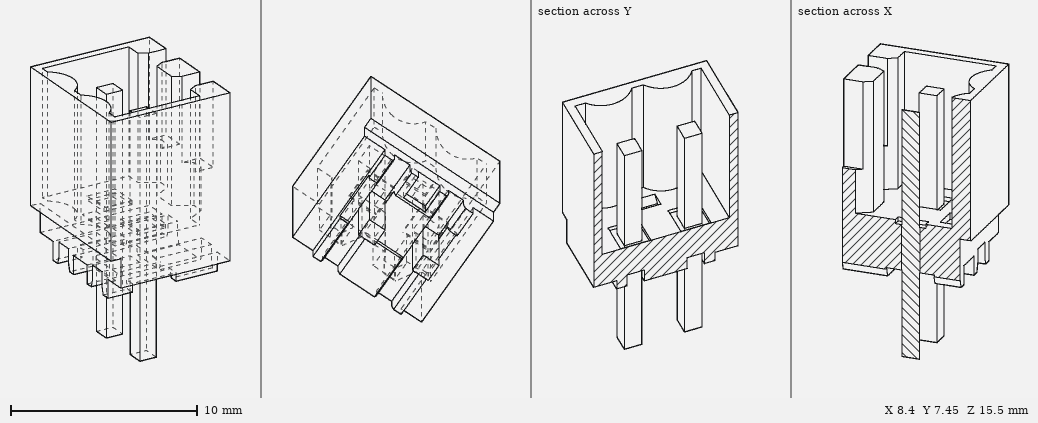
import cadquery as cq


width = 8.4
depth = 7.45
height = 11.04
body_bottom = 1.12
step_depth = 0.6
step_top = 2.85

pitch = 3.5
way_centers = (-pitch / 2, pitch / 2)
pin_y = 3.48

pin_size = 1.03
pin_bottom = -4.51
tip_setback = 1.17
pin_top = height - tip_setback

side_wall = 0.51
front_wall = 0.44
right_corner_wall = 0.55
back_wall = 1.6
floor_z = 3.42
cavity_half = width / 2 - side_wall
cavity_back = depth - back_wall

rib_radius = 1.71
rib_height = 0.75

slot_width = 1.4
slot_height = 5.08
slot_floor = height - slot_height
flare_inner_width = 1.97
flare_outer_width = 0.75
flare_end_wall = 0.56

pin_recess_size = 1.75
pin_recess_depth = 0.23
center_width = 1.4
center_recess_front = 1.15
center_recess_back = 1.99
center_recess_depth = 0.37
center_recess_slope = center_recess_depth

feet_width = 5.74
channel_front = 2.13
channel_back = 4.87
channel_top = 0.51
groove_width = 1.0
groove_top = 1.32
groove_flare_height = 0.45
groove_flare = 0.12


def block(x_size, y_start, y_end, z_start, z_end, x_center=0.0):
    """Box centred on x_center, given by its Y and Z limits."""
    return (
        cq.Workplane("XY", origin=(x_center, (y_start + y_end) / 2, z_start))
        .box(x_size, y_end - y_start, z_end - z_start, centered=(True, True, False))
    )


def make_shell():
    """Shroud, stepped-back base and the foot block below it."""
    shroud = block(width, 0, depth, step_top, height)
    base = block(width, step_depth, depth, body_bottom, step_top)
    feet = block(feet_width, step_depth, depth, 0, body_bottom)
    return shroud.union(base).union(feet)


def make_cavity():
    """Mating cavity, with the round ribs left standing on its front wall."""
    cavity = block(2 * cavity_half, front_wall, cavity_back, floor_z, height)
    rib_center_y = front_wall + rib_height - rib_radius
    for x in way_centers:
        rib = (
            cq.Workplane("XY", origin=(x, rib_center_y, floor_z))
            .circle(rib_radius)
            .extrude(height - floor_z)
        )
        cavity = cavity.cut(rib)
    corner_width = cavity_half - pitch / 2
    corner_center = cavity_half - corner_width / 2
    corner = block(corner_width, front_wall, right_corner_wall, floor_z, height, corner_center)
    return cavity.cut(corner)


def make_key_slot(x):
    """Straight slot through the back wall and the deeper tapered recess in front of it."""
    straight = block(slot_width, cavity_back, depth, slot_floor, height, x)
    taper = (
        cq.Workplane("XY", origin=(x, 0, floor_z))
        .polyline([
            (-flare_inner_width / 2, cavity_back),
            (flare_inner_width / 2, cavity_back),
            (flare_outer_width / 2, depth - flare_end_wall),
            (-flare_outer_width / 2, depth - flare_end_wall),
        ])
        .close()
        .extrude(height - floor_z)
    )
    return straight.union(taper)


def make_center_recess():
    """Floor recess between the ways, sloping down from its front edge."""
    bottom = floor_z - center_recess_depth
    return (
        cq.Workplane("YZ", origin=(-center_width / 2, 0, 0))
        .polyline([
            (center_recess_front, floor_z),
            (center_recess_back, floor_z),
            (center_recess_back, bottom),
            (center_recess_front + center_recess_slope, bottom),
        ])
        .close()
        .extrude(center_width)
    )


def make_pin_recess(x):
    """Square recess in the cavity floor around a pin."""
    half = pin_recess_size / 2
    return block(pin_recess_size, pin_y - half, pin_y + half, floor_z - pin_recess_depth, floor_z, x)


def make_foot_groove(x):
    """Groove along Y under a pin, flared towards the bottom of the feet."""
    half = groove_width / 2
    return (
        cq.Workplane("XZ", origin=(x, depth, 0))
        .polyline([
            (-half - groove_flare, 0),
            (-half, groove_flare_height),
            (-half, groove_top),
            (half, groove_top),
            (half, groove_flare_height),
            (half + groove_flare, 0),
        ])
        .close()
        .extrude(depth - step_depth)
    )


def make_pin(x):
    """Straight square pin."""
    half = pin_size / 2
    return block(pin_size, pin_y - half, pin_y + half, pin_bottom, pin_top, x)


def make_housing():
    housing = make_shell().cut(make_cavity()).cut(make_center_recess())

    housing = housing.cut(block(feet_width, channel_front, channel_back, 0, channel_top))
    housing = housing.cut(block(center_width, step_depth, center_recess_back, 0, body_bottom))

    for x in way_centers:
        housing = housing.cut(make_key_slot(x))
        housing = housing.cut(make_pin_recess(x))
        housing = housing.cut(make_foot_groove(x))
        housing = housing.cut(make_pin(x))
    return housing


housing = make_housing()
pins = [make_pin(x) for x in way_centers]

result = cq.Compound.makeCompound([housing.val(), *[pin.val() for pin in pins]])